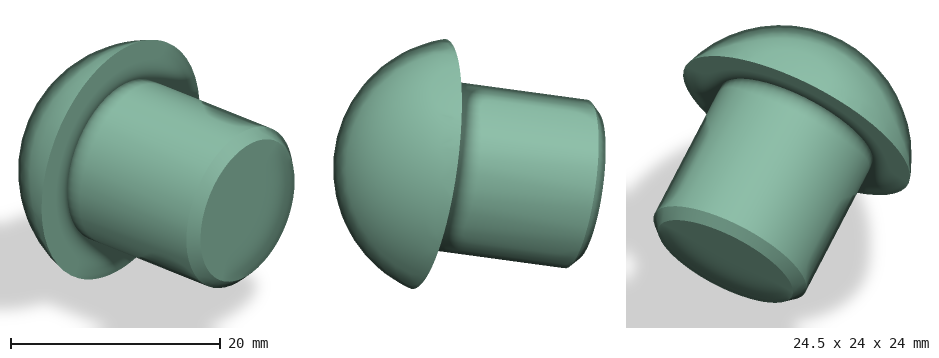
import cadquery as cq

total_length = 24.5
head_diameter = 24.0
head_height = 9.0
shank_diameter = 16.2
tip_chamfer = 0.95

head_radius = head_diameter / 2
shank_length = total_length - head_height
dome_radius = (head_radius**2 + head_height**2) / (2 * head_height)


def make_head():
    """Spherical cap with its crown at X = 0 and its flat face toward +X."""
    sphere = cq.Workplane("XY").sphere(dome_radius).translate((dome_radius, 0, 0))
    slab = cq.Workplane("YZ").circle(dome_radius).extrude(head_height)
    return sphere.intersect(slab)


def make_shank():
    """Cylinder along +X from the flat face of the head, chamfered at the tip."""
    shank = cq.Workplane("YZ", origin=(head_height, 0, 0)).circle(shank_diameter / 2).extrude(shank_length)
    return shank.faces(">X").edges().chamfer(tip_chamfer)


result = make_head().union(make_shank())